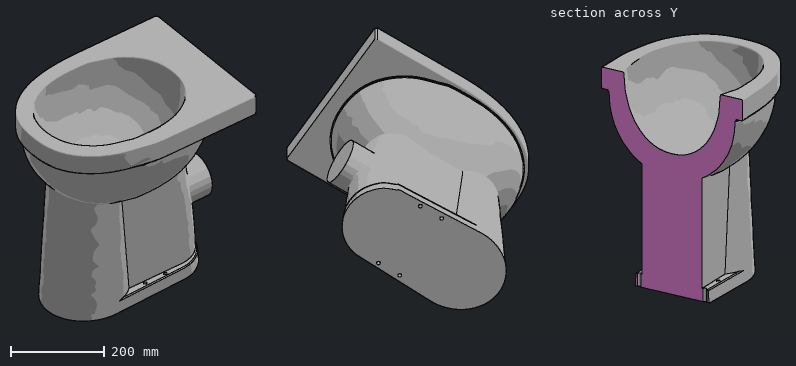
import cadquery as cq
import math

HEIGHT = 490.0

RIM_WIDTH = 355.2
RIM_LENGTH = 470.0
RIM_BOTTOM = 439.5
RIM_STRAIGHT = 206.0
RIM_POWER = 2.4
RIM_ROUND = 4.0
BACK_CHAMFER = 4.0

BOWL_BACK = -32.5
BOWL_FRONT = -460.0
BOWL_MIDDLE = -245.0
BOWL_HALF_WIDTH = 165.5
BOWL_DEPTH = 175.0
BOWL_POWER = 2.1
BOWL_PLAN_POWER = 2.2
NECK_OVERHANG = 2.5
NECK_HEIGHT = 4.0

MOUTH_BACK = -93.0
MOUTH_FRONT = -434.0
MOUTH_MIDDLE = -259.5
MOUTH_HALF_WIDTH = 135.0
CAVITY_DEPTH = 186.0
MOUTH_ROUND = 3.5
LOFT_STEPS = [0.0, 0.25, 0.5, 0.72, 0.88, 0.97, 0.995]

BODY_HALF_WIDTH = 76.0
BODY_FRONT = -343.0
BODY_BACK_LEVELS = [(0.0, -50.0), (132.5, -57.0), (333.0, -94.5)]
COLUMN_HALF_WIDTH = 99.0
COLUMN_TOP_HALF_WIDTH = 84.5
COLUMN_FRONT = -430.0
COLUMN_TOP_FRONT = -413.0
COLUMN_REAR = -265.5
COLUMN_TOP_REAR = -291.5
COLUMN_SHOULDER = -322.0
COLUMN_TOP = 333.0
PLINTH_BACK = -46.5
PLINTH_HEIGHT = 31.5
PLINTH_ROUND_DEPTH = 88.0
PLINTH_BACK_HALF_WIDTH = 91.5
PLINTH_DRAFT = 2.0
PLINTH_EDGE = 2.5
HOLE_OFFSET = 82.5
HOLE_PLACES = (-175.0, -229.5)
HOLE_RADIUS = 4.0

JOINT_LOW = 267.0
JOINT_HIGH = 333.0
JOINT_FILLET = 2.5

SPIGOT_RADIUS = 51.5
SPIGOT_END = -24.0
SPIGOT_ROOT = -147.0
SPIGOT_CENTRE = 180.0
SPIGOT_FILLET = 3.0

CURVE_POINTS = 12


def super_arc(half_width, length, power, middle, start_turn, end_turn):
    """Points of a superellipse arc, turning from +X toward +Y, about (0, middle)."""
    points = []
    for i in range(CURVE_POINTS + 1):
        angle = math.pi * (start_turn + (end_turn - start_turn) * i / CURVE_POINTS)
        c, s = math.cos(angle), math.sin(angle)
        x = math.copysign(half_width * abs(c) ** (2 / power), c)
        y = math.copysign(length * abs(s) ** (2 / power), s)
        points.append((x, middle + y))
    return points


def egg(level, back, front, half_width, middle, power):
    """Closed egg outline: two half superellipses joined at the widest place."""
    rear = super_arc(half_width, back - middle, power, middle, 0, 1)
    fore = super_arc(half_width, middle - front, power, middle, -1, 0)
    return (
        cq.Workplane("XY", origin=(0, 0, level))
        .spline(rear, tangents=[(0, 1), (0, -1)])
        .spline(fore[1:], tangents=[(0, -1), (0, 1)], includeCurrent=True)
        .close()
    )


def loft(sections, ruled=False):
    return cq.Workplane(cq.Solid.makeLoft([s.wire().val() for s in sections], ruled))


def basin(top, depth, back, front, half_width, middle):
    """Rounded basin whose egg sections shrink toward the bottom."""
    sections = []
    for step in LOFT_STEPS:
        size = (1 - step ** BOWL_POWER) ** (1 / BOWL_POWER)
        sections.append(
            egg(
                top - depth * step,
                middle + (back - middle) * size,
                middle + (front - middle) * size,
                half_width * size,
                middle,
                BOWL_PLAN_POWER,
            )
        )
    return loft(sections)


def make_rim():
    half = RIM_WIDTH / 2
    nose = super_arc(half, RIM_LENGTH - RIM_STRAIGHT, RIM_POWER, -RIM_STRAIGHT, -1, 0)
    slab = (
        cq.Workplane("XY", origin=(0, 0, RIM_BOTTOM))
        .moveTo(half, 0)
        .lineTo(-half, 0)
        .lineTo(-half, -RIM_STRAIGHT)
        .spline(nose[1:], tangents=[(0, -1), (0, 1)], includeCurrent=True)
        .close()
        .extrude(HEIGHT - RIM_BOTTOM)
    )
    back_corners = cq.selectors.BoxSelector((-half - 5, -5, 0), (half + 5, 5, HEIGHT))
    slab = slab.edges("|Z").edges(back_corners).chamfer(BACK_CHAMFER)
    return slab.faces("<Z or >Z").edges("not(>Y)").fillet(RIM_ROUND)


def make_bowl():
    neck = egg(
        RIM_BOTTOM - NECK_HEIGHT,
        BOWL_BACK + NECK_OVERHANG,
        BOWL_FRONT - NECK_OVERHANG,
        BOWL_HALF_WIDTH + NECK_OVERHANG,
        BOWL_MIDDLE,
        BOWL_PLAN_POWER,
    ).extrude(2 * NECK_HEIGHT)
    shell = basin(
        RIM_BOTTOM - NECK_HEIGHT, BOWL_DEPTH, BOWL_BACK, BOWL_FRONT, BOWL_HALF_WIDTH, BOWL_MIDDLE
    )
    return shell.union(neck)


def make_body():
    """Rear of the pedestal: flat sides and a round back leaning forward."""

    def section(level, back):
        return (
            cq.Workplane("XY", origin=(0, 0, level))
            .moveTo(BODY_HALF_WIDTH, BODY_FRONT)
            .lineTo(BODY_HALF_WIDTH, back - BODY_HALF_WIDTH)
            .threePointArc((0, back), (-BODY_HALF_WIDTH, back - BODY_HALF_WIDTH))
            .lineTo(-BODY_HALF_WIDTH, BODY_FRONT)
            .close()
        )

    return loft([section(level, back) for level, back in BODY_BACK_LEVELS])


def make_column():
    """Front of the pedestal: flares out from the body and tapers upward."""

    def section(level, half_width, front, rear):
        nose = super_arc(half_width, COLUMN_SHOULDER - front, 2, COLUMN_SHOULDER, -1, 0)
        return (
            cq.Workplane("XY", origin=(0, 0, level))
            .moveTo(BODY_HALF_WIDTH, rear)
            .lineTo(-BODY_HALF_WIDTH, rear)
            .spline(nose + [(BODY_HALF_WIDTH, rear)], includeCurrent=True)
            .close()
        )

    return loft(
        [
            section(0, COLUMN_HALF_WIDTH, COLUMN_FRONT, COLUMN_REAR),
            section(COLUMN_TOP, COLUMN_TOP_HALF_WIDTH, COLUMN_TOP_FRONT, COLUMN_TOP_REAR),
        ],
        ruled=True,
    )


def make_plinth():
    """Foot around the body, slightly drafted, with a bevelled top edge."""

    def section(level, inset):
        front_half = COLUMN_HALF_WIDTH - inset
        half = PLINTH_BACK_HALF_WIDTH - inset
        round_start = PLINTH_BACK - PLINTH_ROUND_DEPTH
        back = super_arc(half, PLINTH_ROUND_DEPTH - inset, 2, round_start, 0, 1)
        return (
            cq.Workplane("XY", origin=(0, 0, level))
            .moveTo(front_half, COLUMN_SHOULDER)
            .lineTo(half, round_start)
            .spline(back[1:], tangents=[(0, 1), (0, -1)], includeCurrent=True)
            .lineTo(-front_half, COLUMN_SHOULDER)
            .close()
        )

    return loft(
        [
            section(0, 0),
            section(PLINTH_HEIGHT - PLINTH_EDGE, PLINTH_DRAFT),
            section(PLINTH_HEIGHT, PLINTH_DRAFT + PLINTH_EDGE),
        ],
        ruled=True,
    )


def make_fixing_holes():
    places = [(side * HOLE_OFFSET, y) for side in (-1, 1) for y in HOLE_PLACES]
    return cq.Workplane("XY").pushPoints(places).circle(HOLE_RADIUS).extrude(PLINTH_HEIGHT)


def make_spigot():
    return (
        cq.Workplane("XZ", origin=(0, SPIGOT_END, SPIGOT_CENTRE))
        .circle(SPIGOT_RADIUS)
        .extrude(SPIGOT_END - SPIGOT_ROOT)
    )


def make_cavity():
    return basin(HEIGHT, CAVITY_DEPTH, MOUTH_BACK, MOUTH_FRONT, MOUTH_HALF_WIDTH, MOUTH_MIDDLE)


trunk = make_body().union(make_spigot())
joint_box = cq.selectors.BoxSelector(
    (-SPIGOT_RADIUS - 5, SPIGOT_ROOT, SPIGOT_CENTRE - SPIGOT_RADIUS - 5),
    (SPIGOT_RADIUS + 5, SPIGOT_END - 5, SPIGOT_CENTRE + SPIGOT_RADIUS + 5),
    boundingbox=True,
)
trunk = trunk.edges(joint_box).fillet(SPIGOT_FILLET)
pedestal = trunk.union(make_column()).union(make_plinth())
solid = make_rim().union(make_bowl()).union(pedestal)
joint_levels = cq.selectors.BoxSelector(
    (-RIM_WIDTH, -RIM_LENGTH, JOINT_LOW), (RIM_WIDTH, 0, JOINT_HIGH), boundingbox=True
)
solid = solid.edges(joint_levels).fillet(JOINT_FILLET)
solid = solid.cut(make_cavity()).cut(make_fixing_holes())

mouth_box = cq.selectors.BoxSelector(
    (-MOUTH_HALF_WIDTH - 5, MOUTH_FRONT - 5, HEIGHT - 0.5),
    (MOUTH_HALF_WIDTH + 5, MOUTH_BACK + 5, HEIGHT + 0.5),
    boundingbox=True,
)
result = solid.edges(mouth_box).fillet(MOUTH_ROUND)